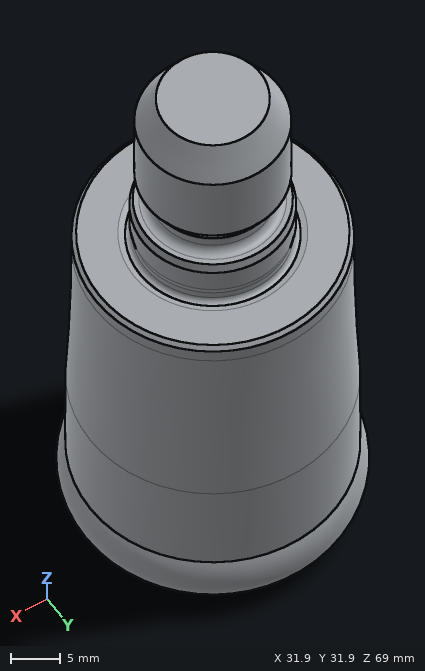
import cadquery as cq
import math

total_height = 69.0

foot_max_radius = 15.95
rim_radius = 5.0
rim_center_radius = foot_max_radius - rim_radius

housing_bottom_radius = 30.0 / 2
housing_top_radius = 28.8 / 2
flare_bottom_z = 20.1
flare_top_z = 42.9
housing_top_z = 45.05
housing_chamfer = 0.5
dish_radius = 9.65
dish_depth = 0.2

root_radius = 16.6 / 2
root_fillet = 0.6
collar_radius = 17.0 / 2
collar_bottom_z = 47.1
collar_top_z = 51.1
collar_undercut_height = 0.8
collar_chamfer_height = 1.05
collar_chamfer_width = 0.35

neck_radius = 13.0 / 2
neck_lower_fillet = 1.05
neck_top_z = 53.2
neck_blend_height = 0.6
neck_blend_radius = 6.75
head_radius = 16.0 / 2
head_bottom_z = 56.1
head_taper_z = 65.15
head_tip_radius = 5.8

joint_z = rim_radius + math.sqrt(rim_radius**2 - (housing_bottom_radius - rim_center_radius)**2)


def revolve_about_z(profile):
    """Close a profile drawn in (radius, Z) and turn it about the Z axis."""
    return profile.close().revolve(360, (0, 0, 0), (0, 1, 0))


def point_on_circle(center, radius, angle):
    """Point on a circle at the given angle in degrees."""
    turn = math.radians(angle)
    return (center[0] + radius * math.cos(turn), center[1] + radius * math.sin(turn))


def make_foot():
    """Flat-bottomed foot with a bulging rim."""
    profile = (
        cq.Workplane("XZ")
        .lineTo(rim_center_radius, 0)
        .threePointArc((foot_max_radius, rim_radius), (housing_bottom_radius, joint_z))
        .lineTo(0, joint_z)
    )
    return revolve_about_z(profile)


def add_housing_outline(profile):
    """Cylinder, tangent flare, top band, chamfer and shallow dish around the stud."""
    return (
        profile.lineTo(housing_bottom_radius, joint_z)
        .lineTo(housing_bottom_radius, flare_bottom_z)
        .threePointArc(
            (
                housing_top_radius + (housing_bottom_radius - housing_top_radius) / 4,
                (flare_bottom_z + flare_top_z) / 2,
            ),
            (housing_top_radius, flare_top_z),
        )
        .lineTo(housing_top_radius, housing_top_z - housing_chamfer)
        .lineTo(housing_top_radius - housing_chamfer, housing_top_z)
        .lineTo(dish_radius, housing_top_z)
        .lineTo(root_radius + root_fillet, housing_top_z - dish_depth)
    )


def add_collar_outline(profile):
    """Filleted root and the collar with its undercut and chamfer."""
    root_fillet_center = (root_radius + root_fillet, housing_top_z - dish_depth + root_fillet)
    return (
        profile.threePointArc(
            point_on_circle(root_fillet_center, root_fillet, 225),
            (root_radius, root_fillet_center[1]),
        )
        .lineTo(root_radius, collar_bottom_z - collar_undercut_height)
        .lineTo(collar_radius, collar_bottom_z)
        .lineTo(collar_radius, collar_top_z - collar_chamfer_height)
        .lineTo(collar_radius - collar_chamfer_width, collar_top_z)
    )


def add_head_outline(profile):
    """Filleted neck and the head tapered at both ends."""
    fillet_center = (neck_radius + neck_lower_fillet, collar_top_z + neck_lower_fillet)
    return (
        profile.lineTo(fillet_center[0], collar_top_z)
        .threePointArc(
            point_on_circle(fillet_center, neck_lower_fillet, 225),
            (neck_radius, fillet_center[1]),
        )
        .lineTo(neck_radius, neck_top_z)
        .tangentArcPoint((neck_blend_radius, neck_top_z + neck_blend_height), relative=False)
        .lineTo(head_radius, head_bottom_z)
        .lineTo(head_radius, head_taper_z)
        .lineTo(head_tip_radius, total_height)
        .lineTo(0, total_height)
    )


def make_studded_housing():
    """Housing and stud turned in one piece, standing on the foot."""
    profile = cq.Workplane("XZ").moveTo(0, joint_z)
    profile = add_housing_outline(profile)
    profile = add_collar_outline(profile)
    profile = add_head_outline(profile)
    return revolve_about_z(profile)


foot = make_foot()
studded_housing = make_studded_housing()

result = cq.Compound.makeCompound([foot.val(), studded_housing.val()])